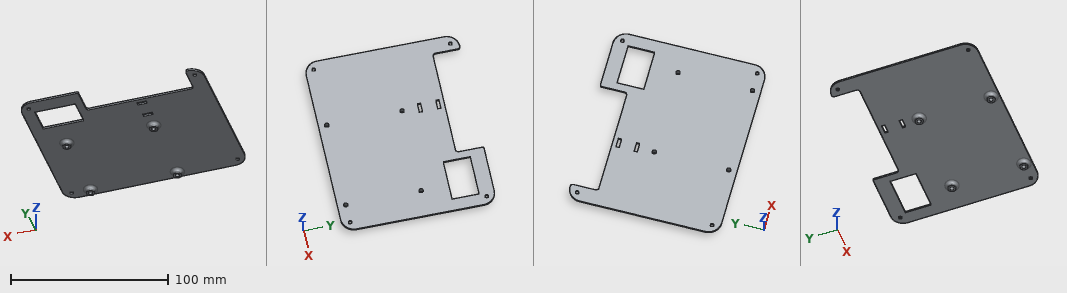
import cadquery as cq

length = 121.8
width = 99.8
thickness = 1.5
corner_radius = 8.5

notch_left = 10.2
notch_right = 81.7
notch_depth = 18.0
notch_inner_radius = 1.8
left_tip_radius = 1.8
right_tip_radius = 1.0

window_left = 86.7
window_length = 27.0
window_width = 17.5
window_back_margin = 9.9

slot_length = 6.1
slot_width = 2.1
slot_center_x = 46.0
slot_back_margin = 21.9
slot_pitch = 11.9

mount_inset = 5.5
mount_hole_diameter = 2.2

standoff_left = 45.8
standoff_front = 5.4
standoff_pitch_x = 58.0
standoff_pitch_y = 49.0
standoff_height = 3.0
standoff_diameter = 5.2
standoff_hole_diameter = 2.7
standoff_fillet = 2.0

standoff_points = [
    (standoff_left + i * standoff_pitch_x, standoff_front + j * standoff_pitch_y)
    for i in (0, 1)
    for j in (0, 1)
]
mount_points = [
    (x, y)
    for x in (mount_inset, length - mount_inset)
    for y in (mount_inset, width - mount_inset)
]


def block(left, front, size_x, size_y):
    """Box through the plate thickness, placed by its lower left corner."""
    return cq.Workplane("XY").box(size_x, size_y, thickness, centered=False).translate((left, front, 0))


def round_upright_edge(body, x, y, radius):
    """Fillet the vertical plate edge at (x, y)."""
    point = (x, y, thickness / 2)
    return body.edges(cq.selectors.NearestToPointSelector(point)).fillet(radius)


def make_plate():
    plate = block(0, 0, length, width).edges("|Z").fillet(corner_radius)
    notch_floor = width - notch_depth
    plate = plate.cut(block(notch_left, notch_floor, notch_right - notch_left, notch_depth))
    plate = round_upright_edge(plate, notch_left, notch_floor, notch_inner_radius)
    plate = round_upright_edge(plate, notch_right, notch_floor, notch_inner_radius)
    plate = round_upright_edge(plate, notch_left, width, left_tip_radius)
    return round_upright_edge(plate, notch_right, width, right_tip_radius)


def cut_openings(plate):
    window_front = width - window_back_margin - window_width
    plate = plate.cut(block(window_left, window_front, window_length, window_width))
    for i in range(2):
        center_y = width - slot_back_margin - i * slot_pitch
        slot_left = slot_center_x - slot_length / 2
        plate = plate.cut(block(slot_left, center_y - slot_width / 2, slot_length, slot_width))
    return plate


def make_standoff():
    """Revolved post that flares into the underside of the plate."""
    radius = standoff_diameter / 2
    return (
        cq.Workplane("XZ")
        .moveTo(0, 0)
        .lineTo(radius + standoff_fillet, 0)
        .radiusArc((radius, -standoff_fillet), -standoff_fillet)
        .lineTo(radius, -standoff_height)
        .lineTo(0, -standoff_height)
        .close()
        .revolve(360, (0, 0), (0, 1))
    )


def drill(body, points, diameter):
    """Holes through the plate and anything below it."""
    drills = (
        cq.Workplane("XY", origin=(0, 0, -standoff_height))
        .pushPoints(points)
        .circle(diameter / 2)
        .extrude(standoff_height + thickness)
    )
    return body.cut(drills)


result = cut_openings(make_plate())
for x, y in standoff_points:
    result = result.union(make_standoff().translate((x, y, 0)))
result = drill(result, standoff_points, standoff_hole_diameter)
result = drill(result, mount_points, mount_hole_diameter)